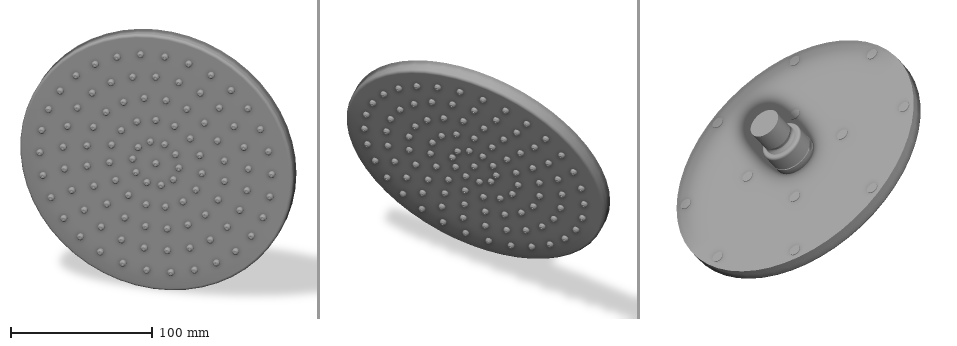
import cadquery as cq
import math


DISC_DIAMETER = 200.0
DISC_THICKNESS = 10.5
RIM_FILLET = 2.0

NOZZLE_DIAMETER = 4.8
NOZZLE_HEIGHT = 2.5
NOZZLE_TIP_CHAMFER = 1.0
SPRAY_HOLE_DIAMETER = 1.0
RING_PITCH = 17.0
RING_START_ANGLES = (-4.6, -6.0, -8.5, 3.6, 1.5)
INNER_RING_COUNT = 10
EXTRA_PER_RING = 5

PAD_DIAMETER = 8.5
PAD_HEIGHT = 0.5
OUTER_PAD_COUNT = 8
OUTER_PAD_RADIUS = 92.0
INNER_PAD_COUNT = 4
INNER_PAD_RADIUS = 40.0

COLLAR_RADIUS = 16.0
BOSS_HEIGHT = 5.0
FLAT_HALF_WIDTH = 15.0
FLAT_LENGTH = 3.0
NECK_RADIUS = 14.0
NUT_GAP = 0.8
NECK_ENGAGEMENT = 6.0

NUT_LENGTH = 13.0
NUT_FILLET = 1.8
MOUTH_RADIUS = 12.0
NUT_LIP = 2.0

CONE_LENGTH = 2.0
STEM_NECK_RADIUS = 9.5
STEM_NECK_LENGTH = 3.8
PIPE_RADIUS = 11.5
PIPE_LENGTH = 15.5

NUT_BOTTOM = BOSS_HEIGHT + NUT_GAP
NUT_TOP = NUT_BOTTOM + NUT_LENGTH
HEAD_NECK_TOP = NUT_BOTTOM + NECK_ENGAGEMENT
LIP_BOTTOM = NUT_TOP - NUT_LIP
CONE_TOP = NUT_TOP + CONE_LENGTH
STEM_NECK_TOP = CONE_TOP + STEM_NECK_LENGTH
PIPE_TOP = STEM_NECK_TOP + PIPE_LENGTH


def cylinder(radius, y_start, y_end):
    """A cylinder about the Y axis."""
    return (
        cq.Workplane("XZ", origin=(0, y_start, 0))
        .circle(radius)
        .extrude(y_start - y_end)
    )


def ring_points(radius, count, start_angle):
    """Evenly spaced (x, z) points on a circle."""
    angles = [math.radians(start_angle + 360 * i / count) for i in range(count)]
    return [(radius * math.cos(a), radius * math.sin(a)) for a in angles]


def nozzle_points():
    """Centres of all the nozzles."""
    points = [(0, 0)]
    for ring, start_angle in enumerate(RING_START_ANGLES):
        count = INNER_RING_COUNT + EXTRA_PER_RING * ring
        points += ring_points(RING_PITCH * (ring + 1), count, start_angle)
    return points


def nozzle():
    """One nozzle on the Y axis: a barrel with a chamfered tip and a blind spray hole."""
    face = -DISC_THICKNESS
    tip = face - NOZZLE_HEIGHT
    barrel = cylinder(NOZZLE_DIAMETER / 2, face, tip)
    barrel = barrel.faces("<Y").chamfer(NOZZLE_TIP_CHAMFER)
    return barrel.cut(cylinder(SPRAY_HOLE_DIAMETER / 2, face, tip))


def boss():
    """The boss with wrench flats on its +X and -X sides, and the neck above it."""
    flat_start = BOSS_HEIGHT - FLAT_LENGTH
    flange = cylinder(COLLAR_RADIUS, 0, flat_start)
    slab = cq.Workplane("XY").box(2 * FLAT_HALF_WIDTH, 2 * BOSS_HEIGHT, 3 * COLLAR_RADIUS)
    flatted = cylinder(COLLAR_RADIUS, flat_start, BOSS_HEIGHT).intersect(slab)
    neck = cylinder(NECK_RADIUS, BOSS_HEIGHT, HEAD_NECK_TOP)
    return flange.union(flatted).union(neck)


def make_head():
    """The disc with its nozzles, back pads and boss."""
    head = cylinder(DISC_DIAMETER / 2, -DISC_THICKNESS, 0)
    head = head.faces("<Y").edges().fillet(RIM_FILLET)
    head = head.union(boss())

    pad_points = ring_points(OUTER_PAD_RADIUS, OUTER_PAD_COUNT, 0)
    pad_points += ring_points(INNER_PAD_RADIUS, INNER_PAD_COUNT, 0)
    pads = cq.Workplane("XZ").pushPoints(pad_points).circle(PAD_DIAMETER / 2).extrude(-PAD_HEIGHT)
    head = head.union(pads)

    one_nozzle = nozzle().val()
    nozzles = [one_nozzle.translate(cq.Vector(x, 0, z)) for x, z in nozzle_points()]
    return cq.Workplane(head.val().fuse(*nozzles).Solids()[0])


def make_nut():
    """The swivel nut: a sleeve with an inner lip that holds the stem."""
    nut = cylinder(COLLAR_RADIUS, NUT_BOTTOM, NUT_TOP)
    nut = nut.faces(">Y").edges().fillet(NUT_FILLET)
    bore = cylinder(NECK_RADIUS, NUT_BOTTOM, LIP_BOTTOM)
    mouth = cylinder(MOUTH_RADIUS, LIP_BOTTOM, NUT_TOP)
    return nut.cut(bore).cut(mouth)


def make_stem():
    """The inlet stem: a flange inside the nut, a cone out of its mouth, a neck and a pipe."""
    outline = [
        (0, HEAD_NECK_TOP),
        (NECK_RADIUS, HEAD_NECK_TOP),
        (NECK_RADIUS, LIP_BOTTOM),
        (MOUTH_RADIUS, LIP_BOTTOM),
        (MOUTH_RADIUS, NUT_TOP),
        (STEM_NECK_RADIUS, CONE_TOP),
        (STEM_NECK_RADIUS, STEM_NECK_TOP),
        (PIPE_RADIUS, STEM_NECK_TOP),
        (PIPE_RADIUS, PIPE_TOP),
        (0, PIPE_TOP),
    ]
    return cq.Workplane("XY").polyline(outline).close().revolve(360, (0, 0, 0), (0, 1, 0))


head = make_head()
nut = make_nut()
stem = make_stem()

result = cq.Compound.makeCompound([head.val(), nut.val(), stem.val()])